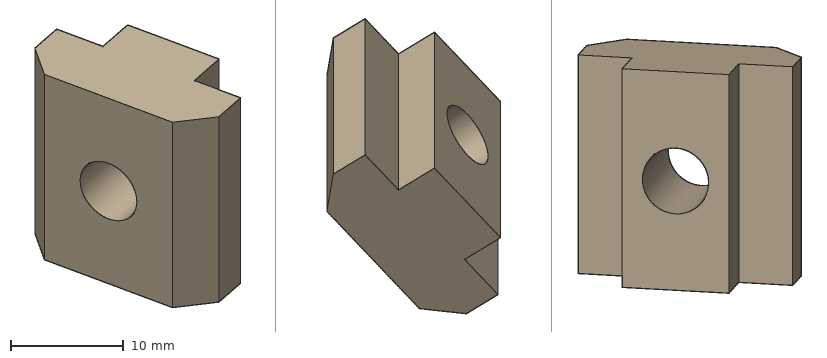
import cadquery as cq

length = 20.0
flange_width = 19.5
flange_depth = 6.5
neck_width = 9.7
neck_depth = 4.0
chamfer = 2.95
hole_diameter = 6.0

total_depth = flange_depth + neck_depth

flange = (
    cq.Workplane("XY")
    .box(flange_width, flange_depth, length, centered=(True, False, True))
    .edges("|Z and <Y")
    .chamfer(chamfer)
)
neck = (
    cq.Workplane("XY")
    .box(neck_width, neck_depth, length, centered=(True, False, True))
    .translate((0, flange_depth, 0))
)

hole = cq.Workplane("XZ").circle(hole_diameter / 2).extrude(-total_depth)

result = flange.union(neck).cut(hole)